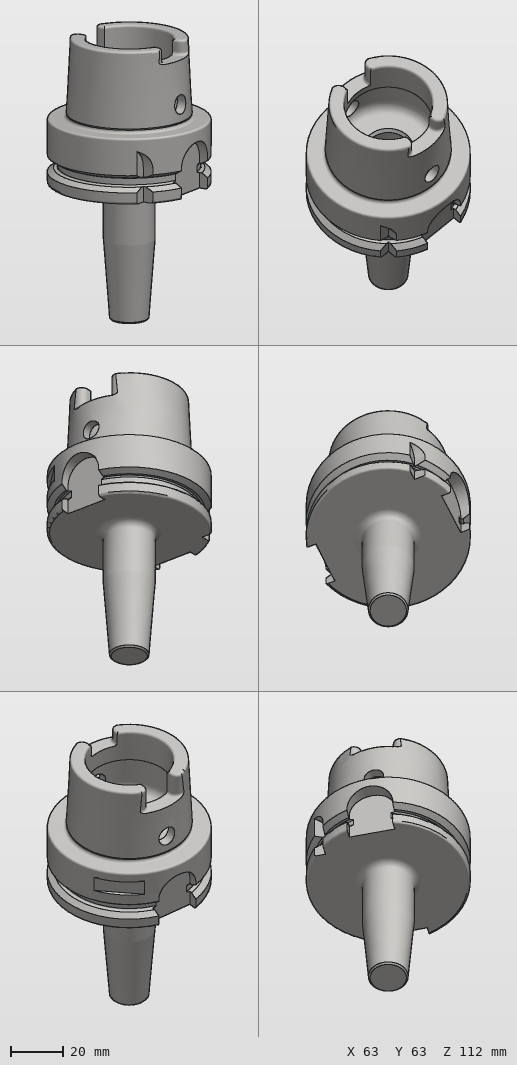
import cadquery as cq
import math


overall_length = 112.0

flange_radius = 31.5
flange_thickness = 26.0
flange_edge_radius = 0.9

groove_radius = 27.4
groove_top = -16.1
groove_bottom = -19.8
groove_root_radius = 0.6
bevel_inner_radius = 29.0
bevel_height = 1.6

shank_height = 32.0
shank_top_radius = 22.7
shank_base_radius = 24.2
shank_top_edge_radius = 1.0
shank_base_height = 2.0
relief_radius = 24.0
relief_top = 1.5
shank_root_radius = 1.2

nose_radius = 10.0
nose_root_radius = 3.0
nose_tip_radius = 7.6
nose_tip_chamfer = 0.7
nose_taper_start = -48.2
nose_end = shank_height - overall_length

bore_radius = 16.9
bore_depth = 13.0
cavity_radius = 20.0
cavity_floor = 2.1
cavity_floor_radius = 4.0
coolant_hole_radius = 8.5
coolant_hole_chamfer = 1.1
coolant_hole_depth = 9.0
cross_hole_radius = 3.8
cross_hole_height = 8.8

slot_half_width = 6.3
slot_corner_radius = 3.0
slot_shoulder = 20.6
slot_floor_radius = 1.2
deep_slot_depth = 10.0
shallow_slot_depth = 5.9
slot_reach = 33.6

keyway_floor = 26.4
keyway_radius = 9.0
keyway_top = -4.8
notch_offset = 19.9
notch_top_radius = 7.8
notch_top = -4.3
flat_distance = 29.9
flat_top = -3.8
flat_height = 6.2
flat_angle = 135


def arc_inset(radius):
    """Distance from either tangent line of a quarter-round corner to the middle of its arc."""
    return radius * (1 - math.sqrt(0.5))


def turned_body():
    """Solid outline of shank, flange and nose, revolved about Z."""
    flange_bottom = -flange_thickness
    upper_bevel_start = groove_top + bevel_height
    lower_bevel_end = groove_bottom - bevel_height
    groove_inset = arc_inset(groove_root_radius)
    edge_inset = arc_inset(flange_edge_radius)
    shank_inset = arc_inset(shank_root_radius)
    root_inset = arc_inset(nose_root_radius)
    return (
        cq.Workplane("XZ")
        .moveTo(0, shank_height)
        .lineTo(shank_top_radius, shank_height)
        .lineTo(shank_base_radius, shank_base_height)
        .lineTo(relief_radius, relief_top)
        .lineTo(relief_radius, shank_root_radius)
        .threePointArc((relief_radius + shank_inset, shank_inset), (relief_radius + shank_root_radius, 0))
        .lineTo(flange_radius - flange_edge_radius, 0)
        .threePointArc((flange_radius - edge_inset, -edge_inset), (flange_radius, -flange_edge_radius))
        .lineTo(flange_radius, upper_bevel_start)
        .lineTo(bevel_inner_radius, groove_top)
        .lineTo(groove_radius + groove_root_radius, groove_top)
        .threePointArc(
            (groove_radius + groove_inset, groove_top - groove_inset),
            (groove_radius, groove_top - groove_root_radius),
        )
        .lineTo(groove_radius, groove_bottom + groove_root_radius)
        .threePointArc(
            (groove_radius + groove_inset, groove_bottom + groove_inset),
            (groove_radius + groove_root_radius, groove_bottom),
        )
        .lineTo(bevel_inner_radius, groove_bottom)
        .lineTo(flange_radius, lower_bevel_end)
        .lineTo(flange_radius, flange_bottom + flange_edge_radius)
        .threePointArc(
            (flange_radius - edge_inset, flange_bottom + edge_inset),
            (flange_radius - flange_edge_radius, flange_bottom),
        )
        .lineTo(nose_radius + nose_root_radius, flange_bottom)
        .threePointArc(
            (nose_radius + root_inset, flange_bottom - root_inset),
            (nose_radius, flange_bottom - nose_root_radius),
        )
        .lineTo(nose_radius, nose_taper_start)
        .lineTo(nose_tip_radius, nose_end + nose_tip_chamfer)
        .lineTo(nose_tip_radius - nose_tip_chamfer, nose_end)
        .lineTo(0, nose_end)
        .close()
        .revolve(360, (0, 0, 0), (0, 1, 0))
    )


def cavity():
    """Stepped cavity: entry bore, wider chamber with a rounded floor, and a blind coolant hole."""
    bore_bottom = shank_height - bore_depth
    floor_inset = arc_inset(cavity_floor_radius)
    return (
        cq.Workplane("XZ")
        .moveTo(0, shank_height)
        .lineTo(bore_radius, shank_height)
        .lineTo(bore_radius, bore_bottom)
        .lineTo(cavity_radius, bore_bottom)
        .lineTo(cavity_radius, cavity_floor + cavity_floor_radius)
        .threePointArc(
            (cavity_radius - floor_inset, cavity_floor + floor_inset),
            (cavity_radius - cavity_floor_radius, cavity_floor),
        )
        .lineTo(coolant_hole_radius + coolant_hole_chamfer, cavity_floor)
        .lineTo(coolant_hole_radius, cavity_floor - coolant_hole_chamfer)
        .lineTo(coolant_hole_radius, cavity_floor - coolant_hole_depth)
        .lineTo(0, cavity_floor - coolant_hole_depth)
        .close()
        .revolve(360, (0, 0, 0), (0, 1, 0))
    )


def driving_slot(side, depth):
    """Cutter for one rim slot: a straight channel that flares out around both lug ends."""
    half = slot_half_width
    corner_start = slot_shoulder - slot_corner_radius
    corner_end = half + slot_corner_radius
    inset = arc_inset(slot_corner_radius)
    cutter = (
        cq.Workplane("XY")
        .workplane(offset=shank_height - depth)
        .moveTo(0, -half)
        .lineTo(side * corner_start, -half)
        .threePointArc((side * (slot_shoulder - inset), -half - inset), (side * slot_shoulder, -corner_end))
        .lineTo(side * slot_shoulder, -slot_reach)
        .lineTo(side * slot_reach, -slot_reach)
        .lineTo(side * slot_reach, slot_reach)
        .lineTo(side * slot_shoulder, slot_reach)
        .lineTo(side * slot_shoulder, corner_end)
        .threePointArc((side * (slot_shoulder - inset), half + inset), (side * corner_start, half))
        .lineTo(0, half)
        .close()
        .extrude(2 * depth)
    )
    return cutter.faces("<Z").edges().fillet(slot_floor_radius)


def arched_cutter(floor, center_y, radius, top):
    """Cutter along +X from x = floor: round on top, straight sides down past the flange."""
    spring = top - radius
    bottom = -flange_thickness
    return (
        cq.Workplane("YZ")
        .workplane(offset=floor)
        .moveTo(center_y - radius, bottom)
        .lineTo(center_y - radius, spring)
        .threePointArc((center_y, top), (center_y + radius, spring))
        .lineTo(center_y + radius, bottom)
        .close()
        .extrude(flange_radius)
    )


def label_flat():
    """Cutter for the short flat milled into the flange side."""
    return (
        cq.Workplane("XY")
        .box(flange_radius, 2 * flange_radius, flat_height, centered=(False, True, False))
        .translate((flat_distance, 0, flat_top - flat_height))
        .rotate((0, 0, 0), (0, 0, 1), flat_angle)
    )


cross_hole = (
    cq.Workplane("YZ")
    .center(0, cross_hole_height)
    .circle(cross_hole_radius)
    .extrude(flange_radius, both=True)
)
keyway = arched_cutter(keyway_floor, 0, keyway_radius, keyway_top)
index_notch = arched_cutter(notch_offset, -notch_offset - notch_top_radius, notch_top_radius, notch_top)

result = turned_body().cut(cavity())
result = result.cut(driving_slot(-1, deep_slot_depth))
result = result.cut(driving_slot(1, shallow_slot_depth))
result = result.faces(">Z").edges().fillet(shank_top_edge_radius)
result = result.cut(cross_hole)
result = result.cut(keyway).cut(keyway.mirror("YZ"))
result = result.cut(index_notch)
result = result.cut(label_flat())